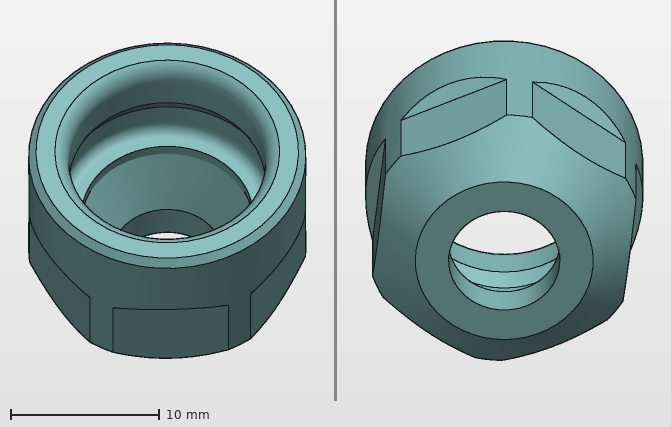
import cadquery as cq
import math

body_diameter = 18.7
body_radius = body_diameter / 2
height = 14.6
top_chamfer = 0.5
nose_radius = 6.0

across_flats = 17.0
flat_count = 6
flats_top = 8.5

bore_radius = 13.25 / 2
mouth_radius = 15.15 / 2
mouth_arc_radius = 1.5
relief_radius = 14.5 / 2
bore_bottom = 11.0
relief_top = 9.65
seat_height = 7.1
seat_fillet = 0.8
counterbore_radius = 11.6 / 2
counterbore_bottom = 6.35
undercut_radius = 0.2
undercut_angle = math.radians(20)
cone_half_angle = math.radians(30)
tube_hole_radius = 7.5 / 2


def polar_point(center, radius, angle):
    """Point of the half section at the given distance and angle from a center."""
    return (center[0] + radius * math.cos(angle), center[1] + radius * math.sin(angle))


def outer_body():
    """Revolved body with a top chamfer and a 45 degree nose."""
    nose_top = body_radius - nose_radius
    profile = (
        cq.Workplane("XZ")
        .moveTo(0, 0)
        .lineTo(nose_radius, 0)
        .lineTo(body_radius, nose_top)
        .lineTo(body_radius, height - top_chamfer)
        .lineTo(body_radius - top_chamfer, height)
        .lineTo(0, height)
        .close()
    )
    return profile.revolve(360, (0, 0), (0, 1))


def flat_cutter(angle):
    """Wedge that cuts one wrench flat and its 45 degree run-out at the top."""
    flat_distance = across_flats / 2
    reach = body_radius
    wedge = (
        cq.Workplane("YZ")
        .moveTo(flat_distance, 0)
        .lineTo(flat_distance, flats_top)
        .lineTo(flat_distance + reach, flats_top + reach)
        .lineTo(flat_distance + reach, 0)
        .close()
        .extrude(body_radius, both=True)
    )
    return wedge.rotate((0, 0, 0), (0, 0, 1), angle)


def bore():
    """Revolved void: rounded mouth, bore, relief, seat, counterbore, undercut, cone and tube hole."""
    undercut_center = (
        counterbore_radius - undercut_radius * math.cos(undercut_angle),
        counterbore_bottom - undercut_radius * math.sin(undercut_angle),
    )
    undercut_mid = polar_point(undercut_center, undercut_radius, (undercut_angle - cone_half_angle) / 2)
    cone_start = polar_point(undercut_center, undercut_radius, -cone_half_angle)
    cone_bottom = cone_start[1] - (cone_start[0] - tube_hole_radius) / math.tan(cone_half_angle)

    seat_center = (relief_radius - seat_fillet, seat_height + seat_fillet)
    seat_mid = polar_point(seat_center, seat_fillet, math.radians(-45))

    mouth_center_radius = bore_radius + mouth_arc_radius
    mouth_sweep = math.acos((mouth_center_radius - mouth_radius) / mouth_arc_radius)
    mouth_arc_bottom = height - mouth_arc_radius * math.sin(mouth_sweep)
    mouth_center = (mouth_center_radius, mouth_arc_bottom)
    mouth_mid = polar_point(mouth_center, mouth_arc_radius, math.pi - mouth_sweep / 2)

    profile = (
        cq.Workplane("XZ")
        .moveTo(0, 0)
        .lineTo(tube_hole_radius, 0)
        .lineTo(tube_hole_radius, cone_bottom)
        .lineTo(*cone_start)
        .threePointArc(undercut_mid, (counterbore_radius, counterbore_bottom))
        .lineTo(counterbore_radius, seat_height)
        .lineTo(seat_center[0], seat_height)
        .threePointArc(seat_mid, (relief_radius, seat_center[1]))
        .lineTo(relief_radius, relief_top)
        .lineTo(bore_radius, bore_bottom)
        .lineTo(bore_radius, mouth_arc_bottom)
        .threePointArc(mouth_mid, (mouth_radius, height))
        .lineTo(0, height)
        .close()
    )
    return profile.revolve(360, (0, 0), (0, 1))


result = outer_body()
for index in range(flat_count):
    result = result.cut(flat_cutter(index * 360 / flat_count))
result = result.cut(bore())